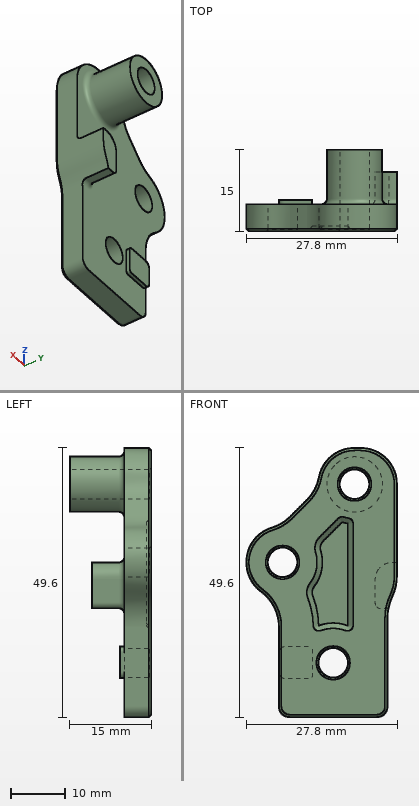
import cadquery as cq
import math

height = 49.6
width = 27.75
plate_thickness = 5.0
edge_chamfer = 0.5
corner_radius = 2.0
base_width = 20.05
lobe_radius = 6.7
blend_radius = 8.0
right_blend_radius = 9.15
right_bend_top = 26.1
flank_normal = 135.0
flank_offset = 4.95

hole_diameter = 5.4
hole_chamfer = 0.4
base_hole_height = 10.0
top_hole_x = 19.95
top_hole = (top_hole_x, height - lobe_radius)
side_hole = (lobe_radius, 28.5)
base_left = 6.0
base_right = base_left + base_width
base_hole = (base_left + base_width / 2, base_hole_height)

boss_diameter = 10.2
boss_end = 15.0
post_end = 10.95
post_left = 23.7
post_bottom = 20.05
post_top = 28.5
post_upper_radius = 3.0
post_lower_radius = 1.05
root_fillet = 1.0
pad_end = 5.8
pad_left = 6.0
pad_right = 12.15
pad_bottom = 7.2
pad_top = 13.05
pad_left_radius = 1.1
pad_right_radius = 0.5

pocket_depth = 1.0
pocket_margin = 6.35
pocket_flank_offset = -1.55
pocket_waist_radius = 2.8
pocket_corner_radius = 1.05


def polar(center, radius, degrees):
    angle = math.radians(degrees)
    return (center[0] + radius * math.cos(angle), center[1] + radius * math.sin(angle))


def arc(sketch, center, radius, start, end):
    """Continue with an arc around center, between two angles in degrees."""
    return sketch.threePointArc(polar(center, radius, (start + end) / 2), polar(center, radius, end))


def prism(sketch, start, end):
    """Extrude a closed XZ outline between two depths along +Y."""
    return sketch.extrude(start - end).translate((0, start, 0))


def rod(center, radius, start, end):
    return prism(cq.Workplane("XZ").center(*center).circle(radius), start, end)


lobe_to_blend = lobe_radius + blend_radius
lower_blend_x = base_left - blend_radius
lower_blend = (
    lower_blend_x,
    side_hole[1] - math.sqrt(lobe_to_blend**2 - (side_hole[0] - lower_blend_x) ** 2),
)


def plate_outline():
    lower_angle = math.degrees(math.atan2(side_hole[1] - lower_blend[1], side_hole[0] - lower_blend[0]))

    side_turn = math.degrees(math.acos((flank_offset + blend_radius) / lobe_to_blend))
    side_angle = flank_normal - side_turn
    side_blend = polar(side_hole, lobe_to_blend, side_angle)
    flank_rise = (top_hole[1] - side_hole[1] - top_hole[0] + side_hole[0]) / math.sqrt(2)
    flank_to_top = flank_offset - flank_rise
    top_turn = math.degrees(math.acos((flank_to_top + blend_radius) / lobe_to_blend))
    top_angle = flank_normal + top_turn
    top_blend = polar(top_hole, lobe_to_blend, top_angle)

    bend_angle = math.degrees(math.acos(1 - (width - base_right) / (2 * right_blend_radius)))
    convex = (width - right_blend_radius, right_bend_top)
    concave = polar(convex, 2 * right_blend_radius, -bend_angle)
    shoulder = (width - lobe_radius, top_hole[1])

    outline = cq.Workplane("XZ").moveTo(base_left, 0).lineTo(*polar(lower_blend, blend_radius, 0))
    outline = arc(outline, lower_blend, blend_radius, 0, lower_angle)
    outline = arc(outline, side_hole, lobe_radius, lower_angle + 180, side_angle)
    outline = arc(outline, side_blend, blend_radius, side_angle - 180, flank_normal - 180)
    outline = outline.lineTo(*polar(top_blend, blend_radius, flank_normal - 180))
    outline = arc(outline, top_blend, blend_radius, flank_normal - 180, top_angle - 180)
    outline = arc(outline, top_hole, lobe_radius, top_angle, 90)
    outline = outline.lineTo(shoulder[0], height)
    outline = arc(outline, shoulder, lobe_radius, 90, 0)
    outline = outline.lineTo(width, right_bend_top)
    outline = arc(outline, convex, right_blend_radius, 0, -bend_angle)
    outline = arc(outline, concave, right_blend_radius, 180 - bend_angle, 180)
    return outline.lineTo(base_right, 0).close()


def plate():
    body = prism(plate_outline(), 0, plate_thickness)
    base_corners = cq.selectors.BoxSelector(
        (0, 0, -corner_radius), (width, plate_thickness, lower_blend[1])
    )
    body = body.edges("|Y").edges(base_corners).fillet(corner_radius)
    return body.faces("<Y").chamfer(edge_chamfer)


def block(left, right, bottom, top, start, end):
    sketch = cq.Workplane("XZ").moveTo(left, bottom).lineTo(right, bottom)
    return prism(sketch.lineTo(right, top).lineTo(left, top).close(), start, end)


def post():
    """Rear post, cut flush with the plate's right edge."""
    body = block(post_left, width, post_bottom, post_top, plate_thickness / 2, post_end)
    body = body.edges("|Y and <X").edges(">Z").fillet(post_upper_radius)
    body = body.edges("|Y and <X").edges("<Z").fillet(post_lower_radius)
    return body.intersect(prism(plate_outline(), 0, post_end))


def pad():
    body = block(pad_left, pad_right, pad_bottom, pad_top, plate_thickness / 2, pad_end)
    body = body.edges("|Y and <X").fillet(pad_left_radius)
    return body.edges("|Y and >X").fillet(pad_right_radius)


def pocket():
    """Cutter with 45 degree walls, following the holes and the plate outline."""
    right = base_right - pocket_margin
    wall = polar(side_hole, pocket_flank_offset, flank_normal)
    wall_top = wall[1] + right - wall[0]
    left = wall[0]
    sketch = cq.Workplane("XZ").moveTo(left, base_hole[1]).lineTo(right, base_hole[1])
    sketch = sketch.lineTo(right, wall_top).lineTo(*wall).close()
    cutter = prism(sketch, -pocket_depth, pocket_depth)
    for hole in (top_hole, side_hole, base_hole):
        cutter = cutter.cut(rod(hole, pocket_margin, -pocket_depth, pocket_depth))
    cutter = cutter.cut(rod(lower_blend, blend_radius + pocket_margin, -pocket_depth, pocket_depth))

    waist = cq.selectors.BoxSelector(
        (0, -plate_thickness, lower_blend[1]), (right, plate_thickness, side_hole[1] + pocket_margin)
    )
    ends = cutter.edges("|Y").edges(cq.selectors.InverseSelector(waist))
    cutter = ends.fillet(pocket_corner_radius)
    sharp_waist = cq.selectors.BoxSelector(
        (0, -plate_thickness, lower_blend[1] + pocket_margin / 2),
        (side_hole[0] + pocket_margin, plate_thickness, side_hole[1] + pocket_margin),
    )
    cutter = cutter.edges("|Y").edges(sharp_waist).fillet(pocket_waist_radius)
    return cutter.faces(">Y").chamfer(pocket_depth)


def countersunk_hole(center):
    radius = hole_diameter / 2
    rim = radius + hole_chamfer
    cone = cq.Solid.makeCone(
        rim, radius, hole_chamfer, cq.Vector(center[0], 0, center[1]), cq.Vector(0, 1, 0)
    )
    return rod(center, radius, 0, boss_end).union(cq.Workplane(cone))


result = plate()
result = result.union(rod(top_hole, boss_diameter / 2, plate_thickness / 2, boss_end))
result = result.union(post())
reach = root_fillet / 2
for left, right, bottom, top in (
    (top_hole[0] - reach, top_hole[0] + reach, top_hole[1] - reach, top_hole[1] + reach),
    (post_left - reach, width - reach / 2, post_bottom - reach, post_top + reach),
):
    root_zone = cq.selectors.BoxSelector(
        (left, plate_thickness - reach, bottom), (right, plate_thickness + reach, top)
    )
    result = result.edges(root_zone).fillet(root_fillet)

result = result.union(pad())
result = result.cut(pocket())
for hole in (top_hole, side_hole, base_hole):
    result = result.cut(countersunk_hole(hole))